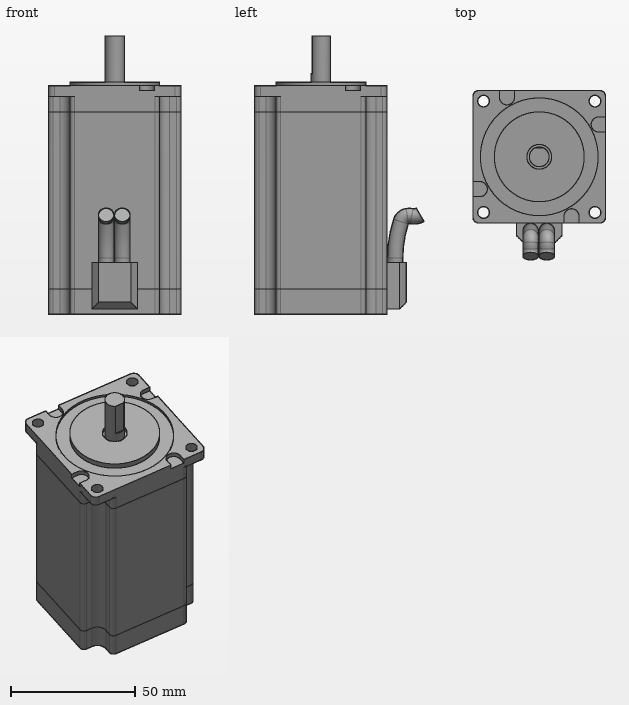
import cadquery as cq
import math

frame_width = 53.4
frame_half = frame_width / 2
notch_size = 8.6
notch_inner_radius = 4.0
notch_edge_radius = 1.9

rear_cap_top = 10.3
stator_top = 81.4
flange_bottom = 87.5
flange_top = 92.0
pilot_top = 93.4
shaft_top = 112.0

flange_corner_radius = 2.5
mount_hole_diameter = 4.6
mount_hole_offset = 22.4
slot_width = 6.0
slot_length = 5.8
slot_depth = 2.0
slot_offset = 13.0

pilot_diameter = 36.2
ring_diameter = 47.4
ring_depth = 1.0
clearance_diameter = 10.0
clearance_depth = 1.5
shaft_seat = pilot_top - clearance_depth

shaft_diameter = 8.0
shaft_flat_bottom = 96.8
shaft_flat_depth = 0.5

block_width = 18.5
block_depth = 7.7
block_bottom = 2.1
block_top = 20.9
block_chamfer = 2.8

cable_diameter = 6.3
cable_spacing = 6.5
cable_mid_x = -0.2
cable_wall_gap = 0.05
cable_straight = 1.7
cable_bends = [(47.6, 18), (3.2, 63), (5.0, 20), (4.9, -41)]


def corner_points(bottom, offset):
    """Workplane holding four points at +-offset along X and Y."""
    plane = cq.Workplane("XY").workplane(offset=bottom)
    return plane.rect(2 * offset, 2 * offset, forConstruction=True).vertices()


def frame_section(bottom, top):
    """Square prism with a rounded notch along each corner."""
    height = top - bottom
    notches = (
        corner_points(bottom, frame_half)
        .rect(2 * notch_size, 2 * notch_size)
        .extrude(height)
        .edges("|Z")
        .fillet(notch_inner_radius)
    )
    section = (
        cq.Workplane("XY")
        .workplane(offset=bottom)
        .rect(frame_width, frame_width)
        .extrude(height)
        .cut(notches)
    )
    notch_mouths = section.faces("<X or >X or <Y or >Y").edges("|Z")
    return notch_mouths.fillet(notch_edge_radius)


def edge_slot(angle):
    """Cutter for a round-ended slot in one side of the flange, turned about the motor axis."""
    radius = slot_width / 2
    slot = (
        cq.Workplane("XY")
        .workplane(offset=flange_top - slot_depth)
        .moveTo(slot_offset - radius, -frame_half)
        .lineTo(slot_offset - radius, -frame_half + slot_length - radius)
        .threePointArc(
            (slot_offset, -frame_half + slot_length),
            (slot_offset + radius, -frame_half + slot_length - radius),
        )
        .lineTo(slot_offset + radius, -frame_half)
        .close()
        .extrude(slot_depth)
    )
    return slot.rotate((0, 0, 0), (0, 0, 1), angle)


def cylinder(diameter, bottom, top):
    """Cylinder on the motor axis."""
    return cq.Workplane("XY").workplane(offset=bottom).circle(diameter / 2).extrude(top - bottom)


def make_front_bell():
    """Square mounting flange on a frame section, with the pilot boss on top."""
    flange = (
        cq.Workplane("XY")
        .workplane(offset=flange_bottom)
        .rect(frame_width, frame_width)
        .extrude(flange_top - flange_bottom)
        .edges("|Z")
        .fillet(flange_corner_radius)
    )
    mount_holes = (
        corner_points(flange_bottom, mount_hole_offset)
        .circle(mount_hole_diameter / 2)
        .extrude(flange_top - flange_bottom)
    )
    ring_floor = flange_top - ring_depth
    bell = frame_section(stator_top, flange_bottom).union(flange).cut(mount_holes)
    for angle in (0, 90, 180, 270):
        bell = bell.cut(edge_slot(angle))
    bell = bell.cut(cylinder(ring_diameter, ring_floor, flange_top))
    bell = bell.union(cylinder(pilot_diameter, ring_floor, pilot_top))
    return bell.cut(cylinder(clearance_diameter, shaft_seat, pilot_top))


def make_shaft():
    """Round shaft standing on the clearance recess floor, with a flat on its +Y side."""
    shaft = cylinder(shaft_diameter, shaft_seat, shaft_top)
    flat = (
        cq.Workplane("XY")
        .workplane(offset=shaft_flat_bottom)
        .center(0, shaft_diameter / 2)
        .rect(shaft_diameter, 2 * shaft_flat_depth)
        .extrude(shaft_top - shaft_flat_bottom)
    )
    return shaft.cut(flat)


def make_connector_block():
    """Block against the motor face, chamfered round its outer face except along the top."""
    block = (
        cq.Workplane("XY")
        .workplane(offset=block_bottom)
        .center(0, -frame_half - block_depth / 2)
        .rect(block_width, block_depth)
        .extrude(block_top - block_bottom)
    )
    return block.faces("<Y").edges("|Z or <Z").chamfer(block_chamfer)


def make_cable(x):
    """Round cable swept up from the block, bending over and away from the motor."""
    start_y = -frame_half - cable_wall_gap - cable_diameter / 2
    y = start_y
    z = block_top + cable_straight
    path = cq.Workplane("YZ", origin=(x, 0, 0)).moveTo(start_y, block_top).lineTo(y, z)
    heading = 0.0
    for radius, turn in cable_bends:
        side = math.copysign(radius, turn)
        points = []
        for tilt in (heading + turn / 2, heading + turn):
            start_angle = math.radians(heading)
            end_angle = math.radians(tilt)
            outward = side * (math.cos(start_angle) - math.cos(end_angle))
            upward = side * (math.sin(end_angle) - math.sin(start_angle))
            points.append((y - outward, z + upward))
        path = path.threePointArc(*points)
        y, z = points[-1]
        heading += turn
    profile = cq.Workplane("XY", origin=(x, start_y, block_top)).circle(cable_diameter / 2)
    return profile.sweep(path)


rear_cap = frame_section(0, rear_cap_top)
stator = frame_section(rear_cap_top, stator_top)
front_bell = make_front_bell()
shaft = make_shaft()
connector_block = make_connector_block()
cables = [make_cable(cable_mid_x + side * cable_spacing / 2) for side in (-1, 1)]

result = cq.Compound.makeCompound(
    [
        rear_cap.val(),
        stator.val(),
        front_bell.val(),
        shaft.val(),
        connector_block.val(),
        *[cable.val() for cable in cables],
    ]
)